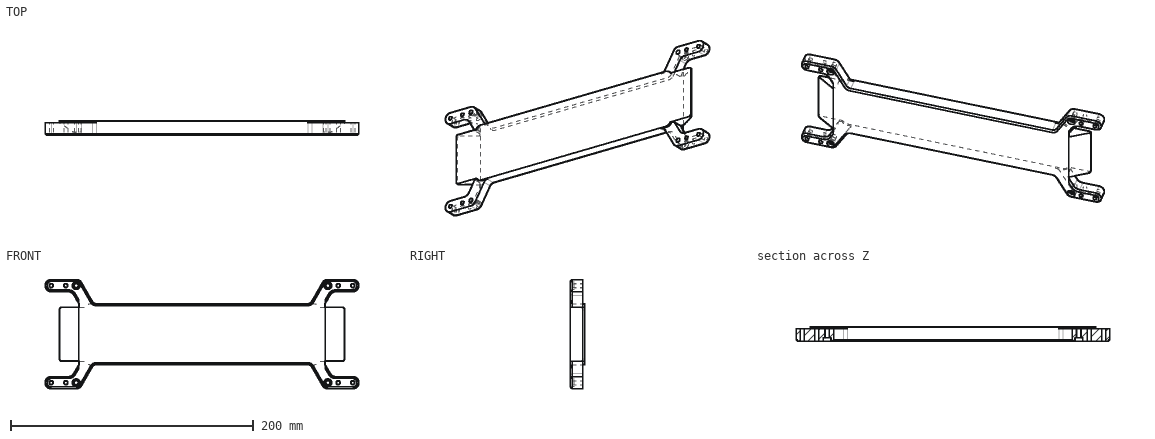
import cadquery as cq
import math

total_length = 258.44
total_height = 90.0
total_thickness = 12.0
frame_thickness = 10.5
step_depth = total_thickness - frame_thickness
front_chamfer = 1.5

body_height = 50.0
body_end_x = 97.7
body_corner_radius = 5.0

arm_width = 10.0
arm_radius = arm_width / 2
arm_z = total_height / 2 - arm_radius
arm_tip_x = total_length / 2 - arm_radius
leg_angle = math.radians(60)
root_radius = 4.0
crook_radius = 5.5

pin_spacing = 12.0
screw_spacing = 20.5
pin_diameter = 3.0
screw_diameter = 3.5
screw_head_diameter = 6.2
screw_head_depth = 3.0
screw_x = arm_tip_x - screw_spacing

tongue_root_x = 101.5
tongue_tip_x = 117.5
tongue_height = 44.5
tongue_corner_radius = 2.0

lip_thickness = front_chamfer
lip_corner_z = 25.2

frame_end_z = tongue_height / 2
frame_end_x = tongue_root_x - (lip_corner_z - frame_end_z) / math.tan(leg_angle)

front_plane = cq.Plane(origin=(0, 0, 0), xDir=(1, 0, 0), normal=(0, -1, 0))


def slab(profile, thickness):
    """Extrude a profile on the front plane towards +Y."""
    return profile.extrude(-thickness)


def block(length, height, thickness):
    """Centred block reaching back from the front face."""
    return slab(cq.Workplane(front_plane).rect(length, height), thickness)


def arc_point(center, radius, angle):
    """Point on an arc, with the angle measured from +X towards +Z."""
    return (center[0] + radius * math.cos(angle), center[1] + radius * math.sin(angle))


def frame_quarter():
    """The +X, +Z quarter of the frame, before chamfering."""
    up = math.pi / 2
    half_turn = leg_angle / 2
    top_z = total_height / 2
    side_z = body_height / 2
    arm_inner_z = top_z - arm_width

    shoulder = (screw_x, arm_z)
    shoulder_end = arc_point(shoulder, arm_radius, up + leg_angle)
    root_z = side_z + root_radius
    root_end_z = root_z - root_radius * math.cos(leg_angle)
    root_end_x = shoulder_end[0] - (shoulder_end[1] - root_end_z) / math.tan(leg_angle)
    root = (root_end_x - root_radius * math.sin(leg_angle), root_z)

    crook_z = arm_inner_z - crook_radius
    crook_end_z = crook_z + crook_radius * math.cos(leg_angle)
    crook_end_x = frame_end_x + (crook_end_z - frame_end_z) / math.tan(leg_angle)
    crook = (crook_end_x + crook_radius * math.sin(leg_angle), crook_z)

    outline = (
        cq.Workplane(front_plane)
        .lineTo(0, side_z)
        .lineTo(root[0], side_z)
        .threePointArc(arc_point(root, root_radius, half_turn - up), (root_end_x, root_end_z))
        .lineTo(*shoulder_end)
        .threePointArc(arc_point(shoulder, arm_radius, up + half_turn), (screw_x, top_z))
        .lineTo(arm_tip_x, top_z)
        .threePointArc((total_length / 2, arm_z), (arm_tip_x, arm_inner_z))
        .lineTo(crook[0], arm_inner_z)
        .threePointArc(arc_point(crook, crook_radius, up + half_turn), (crook_end_x, crook_end_z))
        .lineTo(frame_end_x, frame_end_z)
        .lineTo(frame_end_x, 0)
        .close()
    )
    return slab(outline, frame_thickness)


def make_frame():
    """Body outline with its four arms, chamfered around the front rim."""
    quarter = frame_quarter()
    half = quarter.union(quarter.mirror("YZ"))
    frame = half.union(half.mirror("XY")).clean()
    return frame.faces("<Y").edges().chamfer(front_chamfer)


def make_raised_back():
    """Rounded rectangle standing proud behind the frame."""
    back = block(2 * body_end_x, body_height, step_depth).edges("|Y").fillet(body_corner_radius)
    return back.translate((0, frame_thickness, 0))


def make_lips():
    """Thin front plate that squares off both ends of the body."""
    lip_top_z = lip_corner_z + front_chamfer / math.cos(leg_angle)
    full = block(2 * tongue_root_x, 2 * lip_top_z, lip_thickness)
    middle = block(2 * body_end_x, 2 * lip_top_z, lip_thickness)
    return full.cut(middle)


def make_tongues():
    """Wedges sloping from the front face to a thin tip with rounded corners at the back."""
    wedge = (
        cq.Workplane("XY")
        .moveTo(-tongue_root_x, 0)
        .lineTo(tongue_root_x, 0)
        .lineTo(tongue_tip_x, frame_thickness)
        .lineTo(tongue_tip_x, total_thickness)
        .lineTo(-tongue_tip_x, total_thickness)
        .lineTo(-tongue_tip_x, frame_thickness)
        .close()
        .extrude(tongue_height / 2, both=True)
    )
    rounded = block(2 * tongue_tip_x, tongue_height, total_thickness)
    return wedge.intersect(rounded.edges("|Y").fillet(tongue_corner_radius))


def four_way(x):
    """Matching positions on all four arms."""
    return [(side * x, level * arm_z) for side in (-1, 1) for level in (-1, 1)]


def drill(part, points, diameter, depth):
    """Cut round holes from the front face."""
    holes = cq.Workplane(front_plane).pushPoints(points).circle(diameter / 2)
    return part.cut(slab(holes, depth))


result = make_frame().union(make_raised_back()).union(make_lips()).union(make_tongues()).clean()
for pin_x in (arm_tip_x, arm_tip_x - pin_spacing):
    result = drill(result, four_way(pin_x), pin_diameter, frame_thickness)
result = drill(result, four_way(screw_x), screw_diameter, frame_thickness)
result = drill(result, four_way(screw_x), screw_head_diameter, screw_head_depth)